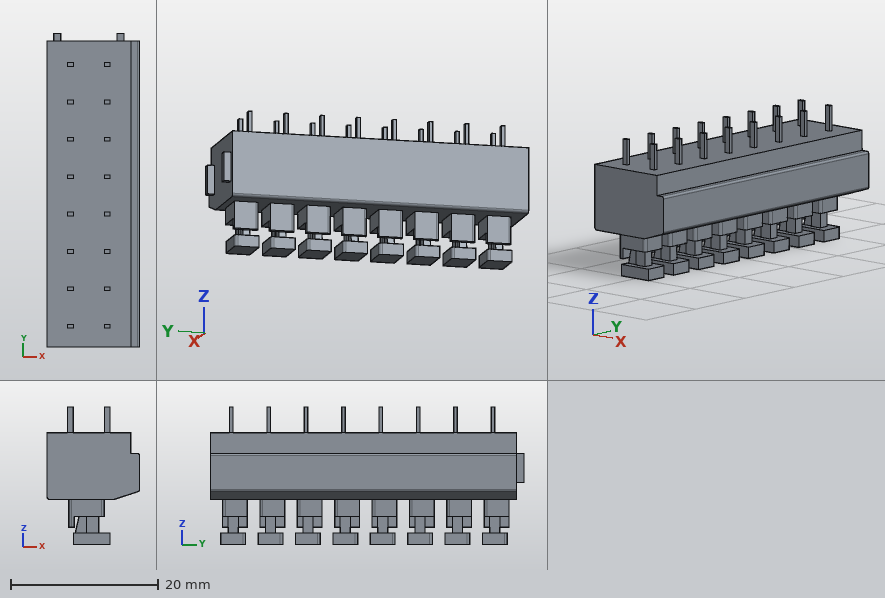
import cadquery as cq

HOUSING_WIDTH = 12.6
HOUSING_LENGTH = 41.64
HOUSING_HEIGHT = 9.1
LEDGE_WIDTH = 1.2
LEDGE_DEPTH = 2.8
FLAT_BOTTOM_WIDTH = 9.1
SLOPE_TOP_Z = -7.95
BOTTOM_EDGE_RADIUS = 0.4
LEDGE_EDGE_RADIUS = 0.3

PEG_WIDTH = 1.0
PEG_HEIGHT = 4.0
PEG_LENGTH = 1.0
PEG_CENTERS_X = (1.4, 10.0)
PEG_TOP_Z = -LEDGE_DEPTH

POLE_COUNT = 8
POLE_PITCH = 5.08

PIN_SIZE_X = 0.8
PIN_SIZE_Y = 0.5
PIN_LENGTH = 3.5
PIN_ROW_CENTERS_X = (3.2, 8.2)
FIRST_PIN_Y = 2.84

COLLAR_MIN_X = 2.95
COLLAR_SIZE_X = 4.85
COLLAR_SIZE_Y = 3.4
COLLAR_HEIGHT = 2.3
LEG_THICKNESS = 0.8
LEG_HEIGHT = 3.75
COLLAR_EDGE_RADIUS = 0.4
FIRST_COLLAR_Y = 3.33
COLLAR_BOTTOM_Z = -HOUSING_HEIGHT - COLLAR_HEIGHT

BUTTON_BOTTOM_Z = -15.2
CAP_HEIGHT = 1.6
CAP_MIN_X = 3.6
CAP_SIZE_X = 5.0
CAP_SIZE_Y = 3.4
CAP_EDGE_RADIUS = 0.4
STEM_MIN_X = 5.4
STEM_MAX_X = 7.05
STEM_SIZE_Y = 1.4
RIB_SIZE_Y = 1.0
RIB_TOP_X = 4.35
RIB_BOTTOM_X = 3.85
FIRST_BUTTON_Y = 3.1
CAP_TOP_Z = BUTTON_BOTTOM_Z + CAP_HEIGHT


def block(min_x, max_x, center_y, size_y, min_z, max_z):
    """Upright block, centred on center_y."""
    size_x = max_x - min_x
    center_x = (min_x + max_x) / 2
    box = cq.Workplane("XY").box(size_x, size_y, max_z - min_z, centered=(True, True, False))
    return box.translate((center_x, center_y, min_z))


def extrude_profile(points, center_y, size_y):
    """Closed XZ outline extruded along Y, centred on center_y."""
    solid = cq.Workplane("XZ").polyline(points).close().extrude(size_y / 2, both=True)
    return solid.translate((0, center_y, 0))


def make_housing():
    ledge_x = HOUSING_WIDTH - LEDGE_WIDTH
    outline = [
        (0, 0),
        (ledge_x, 0),
        (ledge_x, -LEDGE_DEPTH),
        (HOUSING_WIDTH, -LEDGE_DEPTH),
        (HOUSING_WIDTH, SLOPE_TOP_Z),
        (FLAT_BOTTOM_WIDTH, -HOUSING_HEIGHT),
        (0, -HOUSING_HEIGHT),
    ]
    housing = extrude_profile(outline, HOUSING_LENGTH / 2, HOUSING_LENGTH)
    housing = housing.edges("|Y and <X and <Z").fillet(BOTTOM_EDGE_RADIUS)
    return housing.edges("|Y and >X").fillet(LEDGE_EDGE_RADIUS)


def make_peg(center_x):
    return block(
        center_x - PEG_WIDTH / 2,
        center_x + PEG_WIDTH / 2,
        HOUSING_LENGTH + PEG_LENGTH / 2,
        PEG_LENGTH,
        PEG_TOP_Z - PEG_HEIGHT,
        PEG_TOP_Z,
    )


def make_pin(center_x, center_y):
    return block(
        center_x - PIN_SIZE_X / 2,
        center_x + PIN_SIZE_X / 2,
        center_y,
        PIN_SIZE_Y,
        0,
        PIN_LENGTH,
    )


def make_collar(center_y):
    """L-shaped in XZ, with its two outer -Y corners rounded."""
    max_x = COLLAR_MIN_X + COLLAR_SIZE_X
    leg_max_x = COLLAR_MIN_X + LEG_THICKNESS
    leg_bottom_z = -HOUSING_HEIGHT - LEG_HEIGHT
    outline = [
        (COLLAR_MIN_X, -HOUSING_HEIGHT),
        (max_x, -HOUSING_HEIGHT),
        (max_x, COLLAR_BOTTOM_Z),
        (leg_max_x, COLLAR_BOTTOM_Z),
        (leg_max_x, leg_bottom_z),
        (COLLAR_MIN_X, leg_bottom_z),
    ]
    collar = extrude_profile(outline, center_y, COLLAR_SIZE_Y)
    return collar.faces("<X or >X").edges("|Z and <Y").fillet(COLLAR_EDGE_RADIUS)


def make_button(center_y):
    """Stem, tapered rib and cap; the two +Y corners of the cap are rounded."""
    cap = block(CAP_MIN_X, CAP_MIN_X + CAP_SIZE_X, center_y, CAP_SIZE_Y, BUTTON_BOTTOM_Z, CAP_TOP_Z)
    cap = cap.edges("|Z and >Y").fillet(CAP_EDGE_RADIUS)
    stem = block(STEM_MIN_X, STEM_MAX_X, center_y, STEM_SIZE_Y, CAP_TOP_Z, COLLAR_BOTTOM_Z)
    rib_outline = [
        (RIB_TOP_X, COLLAR_BOTTOM_Z),
        (STEM_MIN_X, COLLAR_BOTTOM_Z),
        (STEM_MIN_X, CAP_TOP_Z),
        (RIB_BOTTOM_X, CAP_TOP_Z),
    ]
    rib = extrude_profile(rib_outline, center_y, RIB_SIZE_Y)
    return cap.union(stem).union(rib)


result = make_housing()

for peg_x in PEG_CENTERS_X:
    result = result.union(make_peg(peg_x))

for pole in range(POLE_COUNT):
    pole_y = pole * POLE_PITCH
    for pin_x in PIN_ROW_CENTERS_X:
        result = result.union(make_pin(pin_x, FIRST_PIN_Y + pole_y))
    result = result.union(make_collar(FIRST_COLLAR_Y + pole_y))
    result = result.union(make_button(FIRST_BUTTON_Y + pole_y))